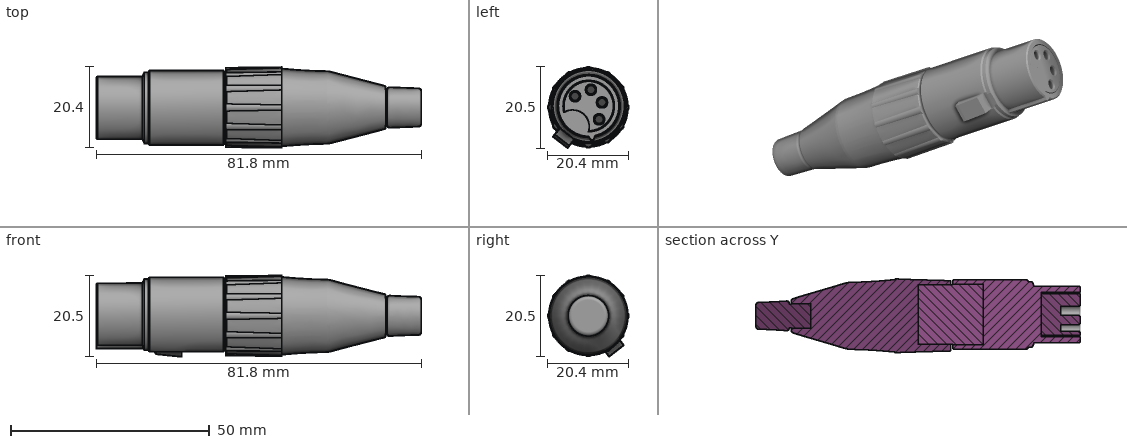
import cadquery as cq
import math

TOTAL_LENGTH = 81.85

SHELL_Y = -0.1
SHELL_Z = 0.3

NOSE_RADIUS = 7.9
NOSE_LENGTH = 11.6
NOSE_CHAMFER = 0.3
SHOULDER_RADIUS = 9.0
SHOULDER_START = 12.1
SHOULDER_END = 13.1
BODY_RADIUS = 9.4
BODY_START = 13.4
SHELL_END = 32.25
SHELL_REAR_CHAMFER = 0.3

KEY_TIP_RADIUS = 8.6
KEY_ROOT_RADIUS = 7.2
KEY_ROOT_WIDTH = 2.1
KEY_TIP_WIDTH = 0.65
KEY_ANGLE = -96.0

POCKET_RADIUS = 6.5
INSERT_RADIUS = 6.2
INSERT_DEPTH = 9.8
RELIEF_RADIUS = 4.2
RELIEF_OFFSET = 6.55
SOCKET_DIAMETER = 2.1
SOCKET_MOUTH_DIAMETER = 2.8
SOCKET_CHAMFER = (SOCKET_MOUTH_DIAMETER - SOCKET_DIAMETER) / 2
SOCKET_DEPTH = 4.9
SOCKET_CENTRES = [(3.4, 2.45), (-0.6, 4.1), (-3.35, 0.9), (-2.6, -3.35)]

LATCH_ANGLE = -52.0
LATCH_WIDTH = 4.7
LATCH_SEAT_RADIUS = 7.8
LATCH_START = 14.1
LATCH_START_RADIUS = 8.8
LATCH_RAMP_END = 15.1
LATCH_CREST_START = 20.7
LATCH_END = 21.5
LATCH_RAMP_RADIUS = 10.9
LATCH_CREST_RADIUS = 11.6

CHUCK_RADIUS = 8.3
CHUCK_START = 24.55
CHUCK_END = 40.9

BOOT_START = 32.6
GRIP_END = 46.65
GRIP_FRONT_RADIUS = 9.6
GRIP_REAR_RADIUS = 10.0
GRIP_FRONT_CHAMFER = 0.25
SLEEVE_RADIUS = 9.8
SLEEVE_MIDDLE = 51.6
SLEEVE_MIDDLE_RADIUS = 9.4
CONE_START = 58.4
CONE_START_RADIUS = 9.2
CONE_END = 72.85
CONE_END_RADIUS = 5.4
CONE_START_FILLET = 3.3
CONE_END_FILLET = 0.5

RIB_COUNT = 12
RIB_RADIUS = 1.1
GRIP_OUTER_DIAMETER = 20.4
RIB_REAR_RADIUS = GRIP_OUTER_DIAMETER / 2
RIB_FRONT_DROP = 0.2
RIB_OVERHANG = 0.8

BUSHING_NECK_RADIUS = 4.6
BUSHING_SEAT_DEPTH = 4.9
TAIL_START = 73.2
TAIL_START_RADIUS = 5.15
TAIL_END_RADIUS = 4.8
TAIL_FRONT_FILLET = 0.7
TAIL_END_FILLET = 0.8


def turned(points):
    """Solid of revolution about X from (x, radius) points, closed along the axis."""
    start = (points[0][0], 0)
    end = (points[-1][0], 0)
    return cq.Workplane("XY").polyline([start, *points, end]).close().revolve(360, (0, 0), (1, 0))


def cylinder(radius, start, end):
    return cq.Workplane("YZ", origin=(start, 0, 0)).circle(radius).extrude(end - start)


def on_shell_axis(body):
    return body.translate((0, SHELL_Y, SHELL_Z))


def make_insert_block(radius):
    """Disc with a round bite on its latch side; serves as insert and as pocket."""
    angle = math.radians(LATCH_ANGLE)
    relief = cylinder(RELIEF_RADIUS, 0, INSERT_DEPTH).translate(
        (0, RELIEF_OFFSET * math.cos(angle), RELIEF_OFFSET * math.sin(angle))
    )
    return cylinder(radius, 0, INSERT_DEPTH).cut(relief)


def make_insert():
    insert = make_insert_block(INSERT_RADIUS)
    socket = turned(
        [
            (0, SOCKET_MOUTH_DIAMETER / 2),
            (SOCKET_CHAMFER, SOCKET_DIAMETER / 2),
            (SOCKET_DEPTH, SOCKET_DIAMETER / 2),
        ]
    )
    for y, z in SOCKET_CENTRES:
        insert = insert.cut(socket.translate((0, y, z)))
    return on_shell_axis(insert)


def latch_prism(outline):
    """Prism of latch width from (x, radius) points, turned about X to the latch angle."""
    prism = cq.Workplane("XY").polyline(outline).close().extrude(LATCH_WIDTH / 2, both=True)
    return prism.rotate((0, 0, 0), (1, 0, 0), LATCH_ANGLE)


def make_latch_block():
    """Ramped button, also the shape of its seat in the shell."""
    outline = [
        (LATCH_START, LATCH_SEAT_RADIUS),
        (LATCH_START, LATCH_START_RADIUS),
        (LATCH_RAMP_END, LATCH_RAMP_RADIUS),
        (LATCH_CREST_START, LATCH_CREST_RADIUS),
        (LATCH_END, LATCH_CREST_RADIUS),
        (LATCH_END, LATCH_SEAT_RADIUS),
    ]
    return latch_prism(outline)


def make_latch_notch():
    """Flat cut through the shoulder in front of the latch."""
    outline = [
        (NOSE_LENGTH, LATCH_START_RADIUS),
        (NOSE_LENGTH, LATCH_CREST_RADIUS),
        (LATCH_RAMP_END, LATCH_CREST_RADIUS),
        (LATCH_RAMP_END, LATCH_START_RADIUS),
    ]
    return latch_prism(outline)


def make_key():
    """Tapered ridge running the length of the nose."""
    outline = [
        (KEY_ROOT_RADIUS, -KEY_ROOT_WIDTH / 2),
        (KEY_TIP_RADIUS, -KEY_TIP_WIDTH / 2),
        (KEY_TIP_RADIUS, KEY_TIP_WIDTH / 2),
        (KEY_ROOT_RADIUS, KEY_ROOT_WIDTH / 2),
    ]
    key = cq.Workplane("YZ").polyline(outline).close().extrude(SHOULDER_START)
    return key.rotate((0, 0, 0), (1, 0, 0), KEY_ANGLE)


def make_shell():
    shell = turned(
        [
            (0, NOSE_RADIUS - NOSE_CHAMFER),
            (NOSE_CHAMFER, NOSE_RADIUS),
            (NOSE_LENGTH, NOSE_RADIUS),
            (SHOULDER_START, SHOULDER_RADIUS),
            (SHOULDER_END, SHOULDER_RADIUS),
            (BODY_START, BODY_RADIUS),
            (SHELL_END - SHELL_REAR_CHAMFER, BODY_RADIUS),
            (SHELL_END, BODY_RADIUS - SHELL_REAR_CHAMFER),
        ]
    )
    shell = shell.union(make_key())
    shell = shell.cut(make_insert_block(POCKET_RADIUS)).cut(make_latch_block()).cut(make_latch_notch())
    shell = shell.cut(cylinder(CHUCK_RADIUS, CHUCK_START, SHELL_END))
    return on_shell_axis(shell)


def make_chuck():
    return on_shell_axis(cylinder(CHUCK_RADIUS, CHUCK_START, CHUCK_END))


def make_rib():
    """Round bar whose outer side climbs slightly towards the rear; overlong, for trimming."""
    rear_centre = RIB_REAR_RADIUS - RIB_RADIUS
    tilt = math.degrees(math.atan(RIB_FRONT_DROP / (GRIP_END - BOOT_START)))
    bar = cylinder(RIB_RADIUS, BOOT_START - RIB_OVERHANG, GRIP_END + RIB_OVERHANG)
    bar = bar.translate((0, rear_centre, 0))
    return bar.rotate((GRIP_END, rear_centre, 0), (GRIP_END, rear_centre, 1), tilt)


def make_bushing():
    seat = CONE_END - BUSHING_SEAT_DEPTH
    tail = turned([(TAIL_START, TAIL_START_RADIUS), (TOTAL_LENGTH, TAIL_END_RADIUS)])
    tail = tail.faces("<X").edges().fillet(TAIL_FRONT_FILLET)
    tail = tail.faces(">X").edges().fillet(TAIL_END_FILLET)
    neck = cylinder(BUSHING_NECK_RADIUS, seat, TAIL_START + TAIL_FRONT_FILLET)
    return tail.union(neck)


def make_boot():
    grip = turned(
        [
            (BOOT_START, GRIP_FRONT_RADIUS - GRIP_FRONT_CHAMFER),
            (BOOT_START + GRIP_FRONT_CHAMFER, GRIP_FRONT_RADIUS),
            (GRIP_END, GRIP_REAR_RADIUS),
        ]
    )
    rib = make_rib()
    for index in range(RIB_COUNT):
        grip = grip.union(rib.rotate((0, 0, 0), (1, 0, 0), index * 360 / RIB_COUNT))
    grip = grip.intersect(cylinder(RIB_REAR_RADIUS + RIB_OVERHANG, BOOT_START, GRIP_END))
    sleeve = (
        cq.Workplane("XY")
        .moveTo(GRIP_END, 0)
        .lineTo(GRIP_END, SLEEVE_RADIUS)
        .threePointArc((SLEEVE_MIDDLE, SLEEVE_MIDDLE_RADIUS), (CONE_START, CONE_START_RADIUS))
        .lineTo(CONE_END, CONE_END_RADIUS)
        .lineTo(CONE_END, 0)
        .close()
        .revolve(360, (0, 0), (1, 0))
    )
    cone_start_edge = cq.selectors.NearestToPointSelector((CONE_START, 0, 0))
    sleeve = sleeve.edges("%CIRCLE").edges(cone_start_edge).fillet(CONE_START_FILLET)
    sleeve = sleeve.faces(">X").edges().fillet(CONE_END_FILLET)
    return grip.union(sleeve).cut(make_chuck()).cut(make_bushing())


shell = make_shell()
insert = make_insert()
latch = on_shell_axis(make_latch_block())
chuck = make_chuck()
boot = make_boot()
bushing = make_bushing()

result = cq.Compound.makeCompound(
    [shell.val(), insert.val(), latch.val(), chuck.val(), boot.val(), bushing.val()]
)